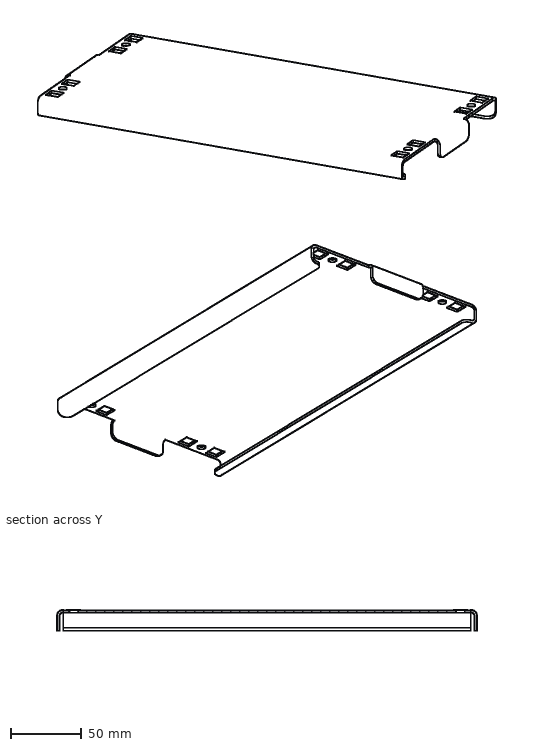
import cadquery as cq

length = 299.0
width = 150.0
height = 15.0
sheet = 2.0
bend_radius = 4.5
corner_radius = 5.0

tab_reach = bend_radius
tab_width = 46.0
lip_width = 10.0

hole_inset = 7.5
row_center = 50.0
hole_pitch = 12.5
square_size = 9.5
round_diameter = 6.0

plate_length = length - 2 * tab_reach
inner_radius = bend_radius - sheet
side_wall_y = width / 2


def make_channel():
    """Top plate, two side walls and two inward bottom lips."""
    outer = cq.Workplane("YZ").rect(width, height).extrude(plate_length / 2, both=True)
    outer = outer.edges("|X").fillet(bend_radius)
    inside = (
        cq.Workplane("YZ")
        .rect(width - 2 * sheet, height - 2 * sheet)
        .extrude(plate_length / 2, both=True)
        .edges("|X")
        .fillet(inner_radius)
    )
    opening = cq.Workplane("XY").box(
        plate_length, width - 2 * lip_width, height / 2, centered=(True, True, False)
    ).translate((0, 0, -height / 2))
    channel = outer.cut(inside).cut(opening)
    lip_corners = cq.selectors.BoxSelector(
        (-length, -side_wall_y + lip_width / 2, -height),
        (length, side_wall_y - lip_width / 2, 0),
    )
    return channel.edges("|Z").edges(lip_corners).fillet(corner_radius)


def make_tab(side):
    """Downward tab at one end; side is +1 or -1 along X."""
    tip = side * length / 2
    top = height / 2
    bend_start = side * plate_length / 2
    bend_center_z = top - bend_radius
    diagonal = 0.5 ** 0.5
    profile = (
        cq.Workplane("XZ")
        .moveTo(bend_start, top)
        .threePointArc(
            (bend_start + side * bend_radius * diagonal, bend_center_z + bend_radius * diagonal),
            (tip, bend_center_z),
        )
        .lineTo(tip, -top)
        .lineTo(tip - side * sheet, -top)
        .lineTo(tip - side * sheet, bend_center_z)
        .threePointArc(
            (bend_start + side * inner_radius * diagonal, bend_center_z + inner_radius * diagonal),
            (bend_start, top - sheet),
        )
        .close()
    )
    tab = profile.extrude(tab_width / 2, both=True)
    return tab.faces("<Z").edges("|X").fillet(corner_radius)


def make_hole_cutters():
    """Four groups, each with a round hole between two square holes."""
    hole_x = plate_length / 2 - hole_inset
    groups = [(x, y) for x in (-hole_x, hole_x) for y in (-row_center, row_center)]
    squares = [(x, y + step) for x, y in groups for step in (-hole_pitch, hole_pitch)]
    base = cq.Workplane("XY").workplane(offset=height / 2 - sheet)
    square_cutters = base.pushPoints(squares).rect(square_size, square_size).extrude(sheet)
    round_cutters = base.pushPoints(groups).circle(round_diameter / 2).extrude(sheet)
    return square_cutters.add(round_cutters).combine()


result = make_channel()
for end in (-1, 1):
    result = result.union(make_tab(end))
result = result.cut(make_hole_cutters())